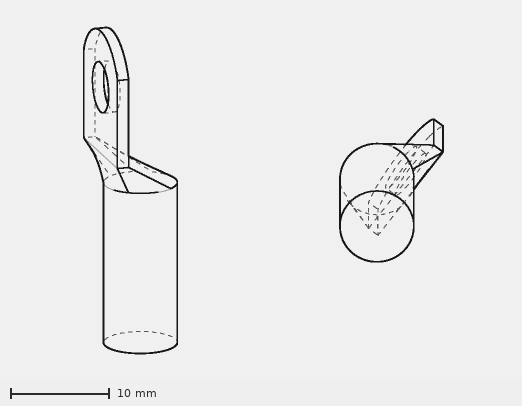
import cadquery as cq
import math

total_height = 33.5
barrel_diameter = 7.5
barrel_height = 17.02
palm_width = 11.0
palm_thickness = 1.2
palm_bottom = 20.55
palm_offset = 0.5
corner_angle = 37.0
hole_diameter = 5.23
shoulder_height = 29.88

barrel_radius = barrel_diameter / 2
half_width = palm_width / 2
palm_front = -barrel_radius - palm_offset
palm_back = palm_front + palm_thickness
crown_rise = total_height - shoulder_height
crown_radius = (half_width**2 + crown_rise**2) / (2 * crown_rise)
hole_height = total_height - crown_radius


def barrel_point(angle):
    """Point on the barrel's outer circle, at an angle in degrees from +X."""
    turn = math.radians(angle)
    return (barrel_radius * math.cos(turn), barrel_radius * math.sin(turn))


def make_barrel():
    barrel = cq.Workplane("XY").circle(barrel_radius).extrude(barrel_height)
    return barrel.rotate((0, 0, 0), (0, 0, 1), -90)


def make_transition():
    """Ruled loft from the round barrel to the flat foot of the palm.

    The circle is split into four arcs, one for each edge of the foot.
    """
    return (
        cq.Workplane("XY", origin=(0, 0, barrel_height))
        .moveTo(*barrel_point(180 + corner_angle))
        .threePointArc(barrel_point(-90), barrel_point(-corner_angle))
        .threePointArc(barrel_point(0), barrel_point(corner_angle))
        .threePointArc(barrel_point(90), barrel_point(180 - corner_angle))
        .threePointArc(barrel_point(180), barrel_point(180 + corner_angle))
        .close()
        .workplane(offset=palm_bottom - barrel_height, origin=(0, 0, barrel_height))
        .moveTo(-half_width, palm_front)
        .lineTo(half_width, palm_front)
        .lineTo(half_width, palm_back)
        .lineTo(-half_width, palm_back)
        .close()
        .loft(ruled=True)
    )


def make_palm():
    """Flat tongue with a rounded crown and a bolt hole."""
    palm = (
        cq.Workplane("XZ", origin=(0, palm_front, 0))
        .moveTo(-half_width, palm_bottom)
        .lineTo(half_width, palm_bottom)
        .lineTo(half_width, shoulder_height)
        .threePointArc((0, total_height), (-half_width, shoulder_height))
        .close()
        .extrude(-palm_thickness)
    )
    hole = (
        cq.Workplane("XZ", origin=(0, palm_front, 0))
        .center(0, hole_height)
        .circle(hole_diameter / 2)
        .extrude(-palm_thickness)
    )
    return palm.cut(hole)


result = make_barrel().union(make_transition()).union(make_palm())